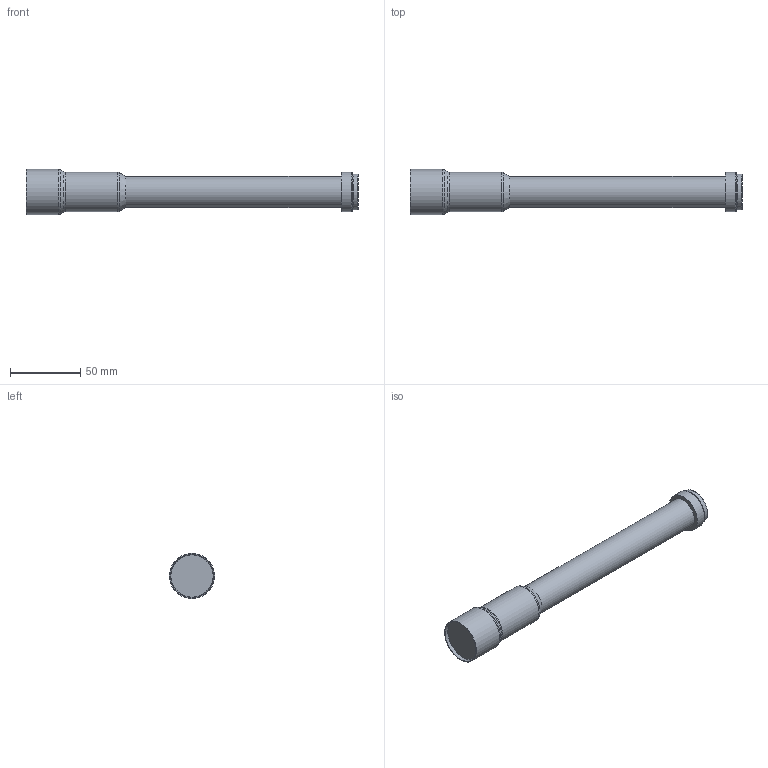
import cadquery as cq
import math

total_length = 235.6

head_radius = 16.0
body_radius = 14.0
tube_radius = 11.0
flange_radius = 14.0
groove_radius = 12.0
spigot_radius = 12.7

head_end = 23.2
body_end = 64.9
flange_start = 223.6
flange_end = 231.4
groove_width = 0.9
end_chamfer = 0.4
flange_chamfer = 0.5

shoulder_angle = math.radians(30)
blend_radius = 2.5

recess_mouth_radius = 15.5
recess_floor_radius = 15.0
recess_depth = 2.3

blend_length = blend_radius * math.sin(shoulder_angle)
blend_drop = blend_radius * (1 - math.cos(shoulder_angle))
half_blend_length = blend_radius * math.sin(shoulder_angle / 2)
half_blend_drop = blend_radius * (1 - math.cos(shoulder_angle / 2))


def round_onto_cone(profile, x, radius):
    """Convex arc from a cylinder ending at x onto the falling cone."""
    middle = (x + half_blend_length, radius - half_blend_drop)
    return profile.threePointArc(middle, (x + blend_length, radius - blend_drop))


def cone_length(drop):
    """Axial length of a cone falling by the given radial drop."""
    return drop / math.tan(shoulder_angle)


def head_shoulder(profile):
    """Cone from head to body, rounded at the top and filleted at the foot."""
    cone_end = head_end + blend_length + cone_length(head_radius - body_radius - 2 * blend_drop)
    foot = cone_end + blend_length
    profile = round_onto_cone(profile, head_end, head_radius)
    profile = profile.lineTo(cone_end, body_radius + blend_drop)
    return profile.threePointArc((foot - half_blend_length, body_radius + half_blend_drop), (foot, body_radius))


def body_shoulder(profile):
    """Cone from body to tube, rounded at the top and meeting the tube at a sharp corner."""
    foot = body_end + blend_length + cone_length(body_radius - tube_radius - blend_drop)
    profile = round_onto_cone(profile, body_end, body_radius)
    return profile.lineTo(foot, tube_radius)


def turned_body():
    """Solid of revolution carrying every outer stage."""
    groove_end = flange_end + groove_width
    profile = cq.Workplane("XZ").lineTo(0, head_radius).lineTo(head_end, head_radius)
    profile = head_shoulder(profile)
    profile = profile.lineTo(body_end, body_radius)
    profile = body_shoulder(profile)
    profile = (
        profile.lineTo(flange_start, tube_radius)
        .lineTo(flange_start, flange_radius)
        .lineTo(flange_end - flange_chamfer, flange_radius)
        .lineTo(flange_end, flange_radius - flange_chamfer)
        .lineTo(flange_end, groove_radius)
        .lineTo(groove_end, groove_radius)
        .lineTo(groove_end, spigot_radius)
        .lineTo(total_length - end_chamfer, spigot_radius)
        .lineTo(total_length, spigot_radius - end_chamfer)
        .lineTo(total_length, 0)
        .close()
    )
    return profile.revolve(360, (0, 0, 0), (1, 0, 0))


def end_recess():
    """Shallow tapered disc removed from the wide end."""
    return (
        cq.Workplane("XZ")
        .lineTo(0, recess_mouth_radius)
        .lineTo(recess_depth, recess_floor_radius)
        .lineTo(recess_depth, 0)
        .close()
        .revolve(360, (0, 0, 0), (1, 0, 0))
    )


result = turned_body().cut(end_recess())